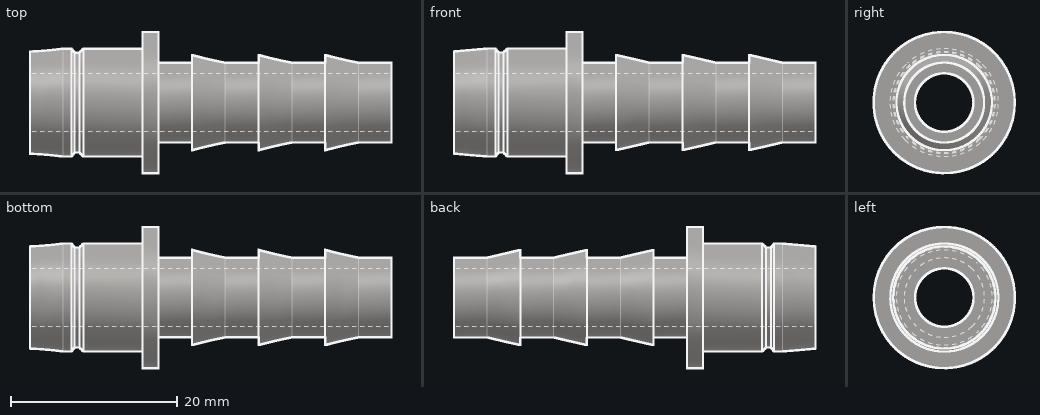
import cadquery as cq

length = 43.5
bore_radius = 7.0 / 2

body_radius = 13.0 / 2
nose_face_radius = 12.3 / 2
nose_length = 4.0

groove_start = 5.0
groove_left_wall = 0.4
groove_floor_width = 0.55
groove_right_wall = 0.5
groove_depth = 0.5
groove_floor_radius = body_radius - groove_depth

flange_radius = 17.0 / 2
flange_start = 13.55
flange_thickness = 1.95
flange_end = flange_start + flange_thickness

tail_radius = 9.6 / 2
barb_radius = 11.5 / 2
barb_length = 4.0
barb_pitch = 2 * barb_length
barb_count = 3
first_barb_start = length - barb_count * barb_pitch


def make_cylinder(start, end, radius):
    """Solid round bar along X between two stations."""
    return cq.Workplane("YZ", origin=(start, 0, 0)).circle(radius).extrude(end - start)


def make_plug():
    """Revolved plug: tapered nose, sloped-wall seal groove, straight body up to the flange."""
    floor_start = groove_start + groove_left_wall
    floor_end = floor_start + groove_floor_width
    groove_end = floor_end + groove_right_wall
    outline = [
        (0, 0),
        (0, nose_face_radius),
        (nose_length, body_radius),
        (groove_start, body_radius),
        (floor_start, groove_floor_radius),
        (floor_end, groove_floor_radius),
        (groove_end, body_radius),
        (flange_start, body_radius),
        (flange_start, 0),
    ]
    return cq.Workplane("XZ").polyline(outline).close().revolve(360, (0, 0, 0), (1, 0, 0))


def make_barb(start):
    """Conical barb, steep face toward the flange, tapering down to the tail."""
    end = start + barb_length
    outline = [(start, 0), (start, barb_radius), (end, tail_radius), (end, 0)]
    return cq.Workplane("XZ").polyline(outline).close().revolve(360, (0, 0, 0), (1, 0, 0))


result = make_plug()
result = result.union(make_cylinder(flange_start, flange_end, flange_radius))
result = result.union(make_cylinder(flange_end, length, tail_radius))
for index in range(barb_count):
    result = result.union(make_barb(first_barb_start + index * barb_pitch))

result = result.cut(make_cylinder(0, length, bore_radius))